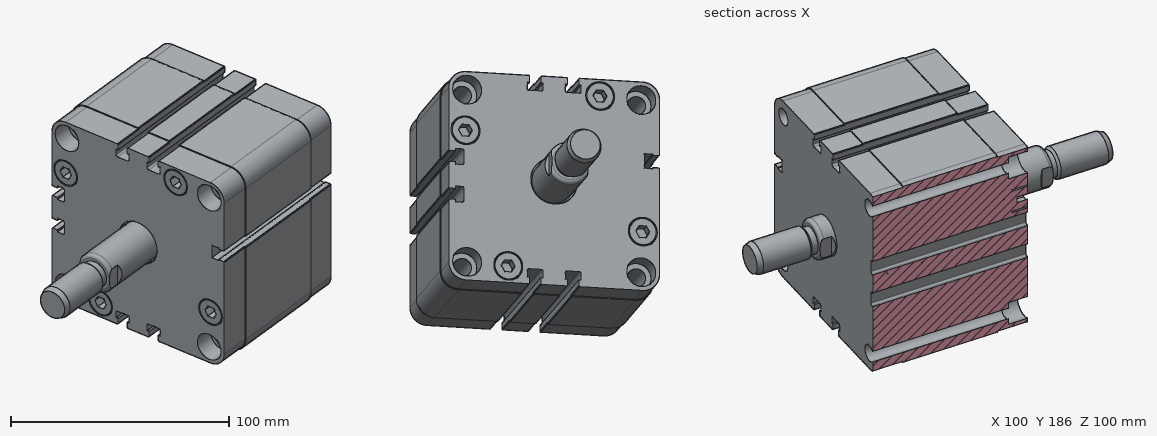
import cadquery as cq
import math


overall_length = 186.0
front_rod_length = 65.0
rear_rod_length = 40.0
front_face_y = -overall_length / 2 + front_rod_length
rear_face_y = overall_length / 2 - rear_rod_length
body_length = rear_face_y - front_face_y

tube_side = 100.0
tube_step = 0.5
cap_side = tube_side - 2 * tube_step
cap_length = 15.8
cap_corner_radius = 8.0
tube_corner_radius = cap_corner_radius + tube_step

slot_offset = 9.0
slot_depth = 7.6
slot_lip = 3.7
slot_mouth_width = 5.2
slot_floor_width = 7.5
slot_floor_radius = 1.0
slot_edge_chamfer = 0.4
side_slot_offset = 12.0
side_slot_mouth_width = 5.8
side_slot_floor_width = 6.9

mount_offset = 41.0
mount_hole_diameter = 8.5
mount_counterbore_diameter = 13.5
mount_counterbore_depth = 10.0

screw_near_offset = 21.5
screw_far_offset = 41.7
screw_pocket_diameter = 13.5
screw_head_diameter = 12.5
screw_head_height = 8.0
hex_across_flats = 5.5
hex_depth = 5.5

rod_diameter = 20.0
rod_end_fillet = 1.9
rod_clearance_diameter = 22.0
rod_clearance_depth = 1.9
wrench_flat_width = 17.1
wrench_flat_length = 6.0
thread_diameter = 16.0
thread_length = 32.0
thread_tip_diameter = 14.0
thread_tip_length = 2.8
neck_diameter = 13.5
neck_length = 3.2
thread_start_taper = (thread_diameter - neck_diameter) / 2


def along_y(y):
    """Sketch plane at height y, with local x = X and local y = Z.

    Its normal is -Y, so a negative extrusion runs towards +Y.
    """
    return cq.Workplane("XZ", origin=(0, y, 0))


def slot(surface, offset, mouth_width, floor_width):
    """T-slot running along the whole body, opening towards +Z."""
    lip = tube_side / 2 - slot_lip
    floor = tube_side / 2 - slot_depth
    right_side = [
        (mouth_width / 2 + slot_edge_chamfer, surface),
        (mouth_width / 2, surface - slot_edge_chamfer),
        (mouth_width / 2, lip),
        (floor_width / 2, lip),
        (floor_width / 2, floor),
    ]
    left_side = [(-x, z) for x, z in reversed(right_side)]
    cutter = along_y(front_face_y).center(offset, 0).polyline(right_side + left_side).close()
    return cutter.extrude(-body_length)


def slotted_block(side, corner_radius, y_start, length):
    """Rounded square block with two slots on the top, left and bottom and one on the right."""
    block = along_y(y_start).rect(side, side).extrude(-length)
    block = block.edges("|Y").fillet(corner_radius)
    for angle in (0, -90, 180):
        for offset in (-slot_offset, slot_offset):
            cutter = slot(side / 2, offset, slot_mouth_width, slot_floor_width)
            cutter = cutter.edges("|Y").edges("<Z").fillet(slot_floor_radius)
            block = block.cut(cutter.rotate((0, 0, 0), (0, 1, 0), angle))
    side_slot = slot(side / 2, -side_slot_offset, side_slot_mouth_width, side_slot_floor_width)
    return block.cut(side_slot.rotate((0, 0, 0), (0, 1, 0), 90))


def make_body():
    body = slotted_block(cap_side, cap_corner_radius, front_face_y, cap_length)
    tube_length = body_length - 2 * cap_length
    tube_start = front_face_y + cap_length
    body = body.union(slotted_block(tube_side, tube_corner_radius, tube_start, tube_length))
    rear_cap_start = rear_face_y - cap_length
    body = body.union(slotted_block(cap_side, cap_corner_radius, rear_cap_start, cap_length))

    spacing = 2 * mount_offset
    holes = along_y(front_face_y).rect(spacing, spacing, forConstruction=True).vertices()
    body = body.cut(holes.circle(mount_hole_diameter / 2).extrude(-body_length))
    body = body.cut(holes.circle(mount_counterbore_diameter / 2).extrude(-mount_counterbore_depth))

    clearance = along_y(front_face_y).circle(rod_clearance_diameter / 2)
    return body.cut(clearance.extrude(-rod_clearance_depth))


def screw_cut(x, z):
    """Gap around a flush screw head plus its hex socket."""
    head = along_y(front_face_y).center(x, z)
    gap = head.circle(screw_pocket_diameter / 2).circle(screw_head_diameter / 2)
    gap = gap.extrude(-screw_head_height)
    hex_across_corners = hex_across_flats / math.cos(math.pi / 6)
    socket = head.polygon(6, hex_across_corners).extrude(-hex_depth)
    return gap.union(socket)


def rod_half(base_y, length, direction):
    """Rod end from base_y, pointing towards -Y (direction -1) or +Y (direction +1)."""
    shoulder = length - thread_length
    thread_start = shoulder + neck_length
    rod_radius = rod_diameter / 2
    neck_radius = neck_diameter / 2
    thread_radius = thread_diameter / 2
    root = -body_length / 2
    arc_shift = rod_end_fillet * (1 - math.cos(math.pi / 4))
    half = (
        cq.Workplane("XY")
        .moveTo(0, root)
        .lineTo(rod_radius, root)
        .lineTo(rod_radius, shoulder - rod_end_fillet)
        .threePointArc(
            (rod_radius - arc_shift, shoulder - arc_shift),
            (rod_radius - rod_end_fillet, shoulder),
        )
        .lineTo(neck_radius, shoulder)
        .lineTo(neck_radius, thread_start)
        .lineTo(thread_radius, thread_start + thread_start_taper)
        .lineTo(thread_radius, length - thread_tip_length)
        .lineTo(thread_tip_diameter / 2, length)
        .lineTo(0, length)
        .close()
        .revolve(360, (0, 0, 0), (0, 1, 0))
    )

    flat = wrench_flat_width / 2
    flat_start = shoulder - wrench_flat_length
    reach = rod_radius
    flat_cut = (
        cq.Workplane("XY")
        .polyline([
            (flat, shoulder),
            (flat, flat_start),
            (flat + reach, flat_start - reach),
            (flat + reach, shoulder),
        ])
        .close()
        .extrude(rod_radius, both=True)
    )
    half = half.cut(flat_cut).cut(flat_cut.mirror("YZ"))
    if direction < 0:
        half = half.mirror("XZ")
    return half.translate((0, base_y, 0))


result = make_body()
for side in (-1, 1):
    result = result.cut(screw_cut(side * screw_near_offset, side * screw_far_offset))
    result = result.cut(screw_cut(side * screw_far_offset, -side * screw_near_offset))
result = result.union(rod_half(front_face_y, front_rod_length, -1))
result = result.union(rod_half(rear_face_y, rear_rod_length, 1))